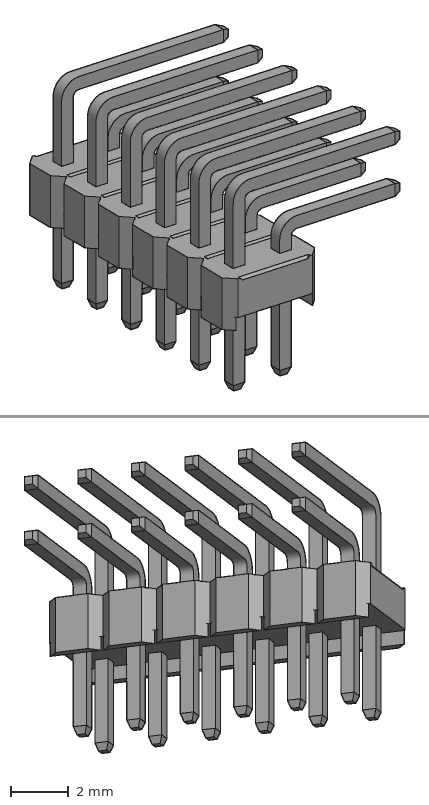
import cadquery as cq


cell_count = 6
overall_length = 12.0
pitch = overall_length / cell_count
housing_width = 2 * pitch
housing_height = pitch
corner_chamfer = pitch / 5
foot_height = pitch / 4
foot_width = 0.35

groove_length = 1.5 * pitch
groove_depth = 0.1

pin_size = pitch / 4
bend_outer_radius = 1.5 * pin_size
bend_inner_radius = bend_outer_radius - pin_size
tail_length = 2.8
tip_length = 0.28
tip_end_size = 0.3
row_offset = pitch / 2
arm_end_y = 3 * pitch
inner_arm_height = pitch / 2
outer_arm_height = inner_arm_height + pitch

cell_centres = [(i - (cell_count - 1) / 2) * pitch for i in range(cell_count)]
cell_boundaries = [(i - cell_count / 2) * pitch for i in range(cell_count + 1)]


def make_cell(x):
    return (
        cq.Workplane("XY")
        .box(pitch, housing_width, housing_height, centered=(True, True, False))
        .edges("|Z")
        .chamfer(corner_chamfer)
        .translate((x, 0, 0))
    )


def make_channel():
    """Channel along the underside that leaves a row of feet on each long side."""
    return cq.Workplane("XY").box(
        overall_length, housing_width - 2 * foot_width, foot_height, centered=(True, True, False)
    )


def make_groove(x):
    """V groove along Y with 45 degree flanks and 45 degree ends."""
    half_length = groove_length / 2
    v_prism = (
        cq.Workplane("XZ")
        .polyline([(-groove_depth, 0), (groove_depth, 0), (0, -groove_depth)])
        .close()
        .extrude(half_length, both=True)
    )
    sloped_ends = (
        cq.Workplane("YZ")
        .polyline([
            (-half_length, 0),
            (half_length, 0),
            (half_length - groove_depth, -groove_depth),
            (groove_depth - half_length, -groove_depth),
        ])
        .close()
        .extrude(groove_depth, both=True)
    )
    return v_prism.intersect(sloped_ends).translate((x, 0, housing_height))


def make_tip(start, direction):
    """Square pin point that tapers from the full pin size, starting at the given point."""
    base = cq.Plane(origin=start, xDir=(1, 0, 0), normal=direction)
    return (
        cq.Workplane(base)
        .rect(pin_size, pin_size)
        .workplane(offset=tip_length)
        .rect(tip_end_size, tip_end_size)
        .loft(ruled=True)
    )


def make_pin(x, y, arm_height):
    """Square pin: straight down through the housing, bent over toward +Y at the top."""
    front = y - pin_size / 2
    back = y + pin_size / 2
    arm_centre = housing_height + arm_height
    arm_top = arm_centre + pin_size / 2
    arm_bottom = arm_centre - pin_size / 2
    shank_bottom = tip_length - tail_length
    shank_end = arm_end_y - tip_length
    shank = (
        cq.Workplane("YZ")
        .moveTo(front, shank_bottom)
        .lineTo(front, arm_top - bend_outer_radius)
        .radiusArc((front + bend_outer_radius, arm_top), bend_outer_radius)
        .lineTo(shank_end, arm_top)
        .lineTo(shank_end, arm_bottom)
        .lineTo(back + bend_inner_radius, arm_bottom)
        .radiusArc((back, arm_bottom - bend_inner_radius), -bend_inner_radius)
        .lineTo(back, shank_bottom)
        .close()
        .extrude(pin_size / 2, both=True)
    )
    tail_tip = make_tip((0, y, shank_bottom), (0, 0, -1))
    arm_tip = make_tip((0, shank_end, arm_centre), (0, 1, 0))
    return shank.union(tail_tip).union(arm_tip).translate((x, 0, 0))


housing = make_cell(cell_centres[0])
for x in cell_centres[1:]:
    housing = housing.union(make_cell(x))
housing = housing.cut(make_channel())
for x in cell_boundaries:
    housing = housing.cut(make_groove(x))

result = housing
for x in cell_centres:
    result = result.union(make_pin(x, -row_offset, outer_arm_height))
    result = result.union(make_pin(x, row_offset, inner_arm_height))